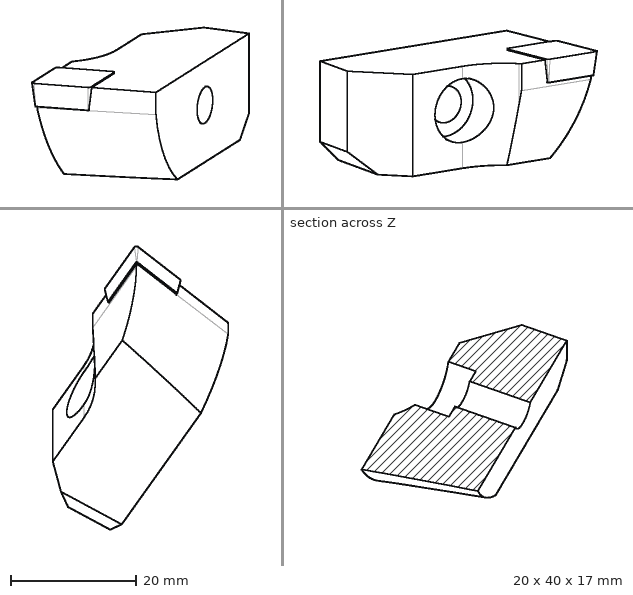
import cadquery as cq
import math


holder_height = 16.8
holder_width = 19.3
shank_width = 15.45
rear_corner_chamfer = 7.5
rear_underside_chamfer = 3.5
front_corner_y = -35.8
lead_angle = 10.0
throat_radius = 12.0
throat_exit_angle = 45.0

hole_y = -17.0
hole_z = 9.5
hole_diameter = 6.0
counterbore_diameter = 10.5
counterbore_depth = 4.8

side_relief_top = 12.4
side_relief_depth = 1.55
nose_axis_y = -15.1
nose_axis_z = 17.0
nose_radius_at_back = 21.1
nose_cone_overrun = 4.0

insert_length = 40.0
insert_left = -20.0
insert_right = -10.4
insert_side_length = 9.7
insert_top = 17.0
insert_thickness = 4.0
insert_relief_angle = 7.0
insert_top_radius = 0.4
insert_bottom_radius = 0.05

lead_slope = math.tan(math.radians(lead_angle))


def make_holder_blank():
    """Plan outline of the shank, the concave throat and the head, extruded up."""
    arc_end_angle = math.radians(throat_exit_angle)
    arc_mid_angle = arc_end_angle / 2

    def throat_point(angle):
        x = -shank_width - throat_radius * (1 - math.cos(angle))
        return (x, hole_y - throat_radius * math.sin(angle))

    arc_end_x, arc_end_y = throat_point(arc_end_angle)
    flat_run = holder_width + arc_end_x
    head_start_y = arc_end_y - flat_run / math.tan(arc_end_angle)
    return (
        cq.Workplane("XY")
        .moveTo(0, 0)
        .lineTo(rear_corner_chamfer - shank_width, 0)
        .lineTo(-shank_width, -rear_corner_chamfer)
        .lineTo(-shank_width, hole_y)
        .threePointArc(throat_point(arc_mid_angle), (arc_end_x, arc_end_y))
        .lineTo(-holder_width, head_start_y)
        .lineTo(-holder_width, front_corner_y - holder_width * lead_slope)
        .lineTo(0, front_corner_y)
        .close()
        .extrude(holder_height)
    )


def make_rear_underside_cut():
    """Wedge below the rear end, running the full width."""
    return (
        cq.Workplane("YZ")
        .polyline([(0, 0), (-rear_underside_chamfer, 0), (0, rear_underside_chamfer)])
        .close()
        .extrude(-holder_width)
    )


def make_side_relief_cut():
    """Wedge that leans the head side inward towards the underside."""
    return (
        cq.Workplane("XZ")
        .polyline([
            (-holder_width, 0),
            (side_relief_depth - holder_width, 0),
            (-holder_width, side_relief_top),
        ])
        .close()
        .extrude(insert_length)
    )


def make_nose_cone():
    """Cone about an axis along X; its outside is the clearance below the front end."""
    left_x = -holder_width - nose_cone_overrun
    right_x = nose_cone_overrun
    return (
        cq.Workplane("XY")
        .moveTo(left_x, 0)
        .lineTo(left_x, nose_radius_at_back - left_x * lead_slope)
        .lineTo(right_x, nose_radius_at_back - right_x * lead_slope)
        .lineTo(right_x, 0)
        .close()
        .revolve(360, (0, 0), (1, 0))
        .translate((0, nose_axis_y, nose_axis_z))
    )


def make_nose_cut():
    """Everything in front of the cone axis that lies outside the cone."""
    front_block = cq.Workplane("XY").box(
        holder_width, insert_length + nose_axis_y, holder_height, centered=False
    ).translate((-holder_width, -insert_length, 0))
    return front_block.cut(make_nose_cone())


def make_screw_hole():
    """Through hole with a counterbore sunk from the shank side."""
    center = (-holder_width, hole_y, hole_z)
    hole_plane = cq.Workplane("YZ", origin=center)
    through = hole_plane.circle(hole_diameter / 2).extrude(holder_width)
    floor_depth = holder_width - shank_width + counterbore_depth
    return through.union(hole_plane.circle(counterbore_diameter / 2).extrude(floor_depth))


def insert_section(z, inset, corner_radius):
    """Rounded parallelogram with every side moved inward by the inset."""
    left = insert_left + inset
    right = insert_right - inset
    inset_along_y = inset / math.cos(math.radians(lead_angle))
    half_angle = math.radians(90 - lead_angle) / 2
    tip_setback = insert_top_radius * (1 / math.tan(half_angle) - 1)
    tip_y = -insert_length - tip_setback

    def front_y(x):
        return tip_y + (x - insert_left) * lead_slope + inset_along_y

    def rear_y(x):
        return tip_y + insert_side_length + (x - insert_left) * lead_slope - inset_along_y

    sharp = (
        cq.Workplane("XY")
        .polyline([
            (left, front_y(left)),
            (right, front_y(right)),
            (right, rear_y(right)),
            (left, rear_y(left)),
        ])
        .close()
        .val()
    )
    return sharp.fillet2D(corner_radius, sharp.Vertices()).translate(cq.Vector(0, 0, z))


def make_insert():
    """Cutting insert that tapers towards its seat."""
    relief_inset = insert_thickness * math.tan(math.radians(insert_relief_angle))
    bottom = insert_section(insert_top - insert_thickness, relief_inset, insert_bottom_radius)
    top = insert_section(insert_top, 0, insert_top_radius)
    return cq.Workplane(cq.Solid.makeLoft([bottom, top], True))


def make_holder(insert):
    """Holder with its clearances, screw hole and a seat that fits the insert."""
    return (
        make_holder_blank()
        .cut(make_rear_underside_cut())
        .cut(make_side_relief_cut())
        .cut(make_nose_cut())
        .cut(make_screw_hole())
        .cut(insert)
    )


insert = make_insert()
holder = make_holder(insert)
result = cq.Compound.makeCompound([holder.solids().val(), insert.val()])